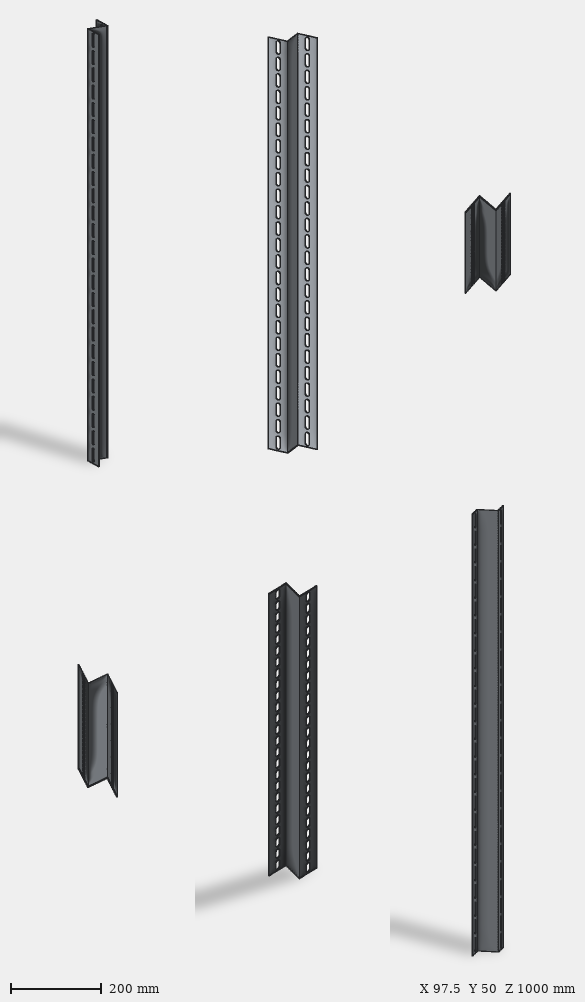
import cadquery as cq

RAIL_LENGTH = 1000.0
LEG_WIDTH = 50.0
SHEET_THICKNESS = 2.5

SLOT_PITCH = 40.0
SLOT_LENGTH = 32.0
SLOT_WIDTH = 10.0

SECTION_WIDTH = 2 * LEG_WIDTH - SHEET_THICKNESS
HALF_WIDTH = SECTION_WIDTH / 2
HALF_DEPTH = LEG_WIDTH / 2
HALF_SHEET = SHEET_THICKNESS / 2
SLOT_COUNT = int(RAIL_LENGTH / SLOT_PITCH)
SLOT_OFFSET = HALF_WIDTH - LEG_WIDTH / 2


def z_section():
    """Rail body: rear flange on -X, web on the YZ plane, front flange on +X."""
    inner_depth = HALF_DEPTH - SHEET_THICKNESS
    outline = [
        (-HALF_WIDTH, HALF_DEPTH),
        (HALF_SHEET, HALF_DEPTH),
        (HALF_SHEET, -inner_depth),
        (HALF_WIDTH, -inner_depth),
        (HALF_WIDTH, -HALF_DEPTH),
        (-HALF_SHEET, -HALF_DEPTH),
        (-HALF_SHEET, inner_depth),
        (-HALF_WIDTH, inner_depth),
    ]
    return (
        cq.Workplane("XY")
        .workplane(offset=-RAIL_LENGTH / 2)
        .polyline(outline)
        .close()
        .extrude(RAIL_LENGTH)
    )


def slot_rows():
    """Cutters for one row of upright round-ended slots in each flange."""
    first_slot_z = -(SLOT_COUNT - 1) * SLOT_PITCH / 2
    centres = [
        (side * SLOT_OFFSET, first_slot_z + index * SLOT_PITCH)
        for side in (-1, 1)
        for index in range(SLOT_COUNT)
    ]
    return (
        cq.Workplane("XZ")
        .pushPoints(centres)
        .slot2D(SLOT_LENGTH, SLOT_WIDTH, angle=90)
        .extrude(HALF_DEPTH, both=True)
    )


result = z_section().cut(slot_rows())